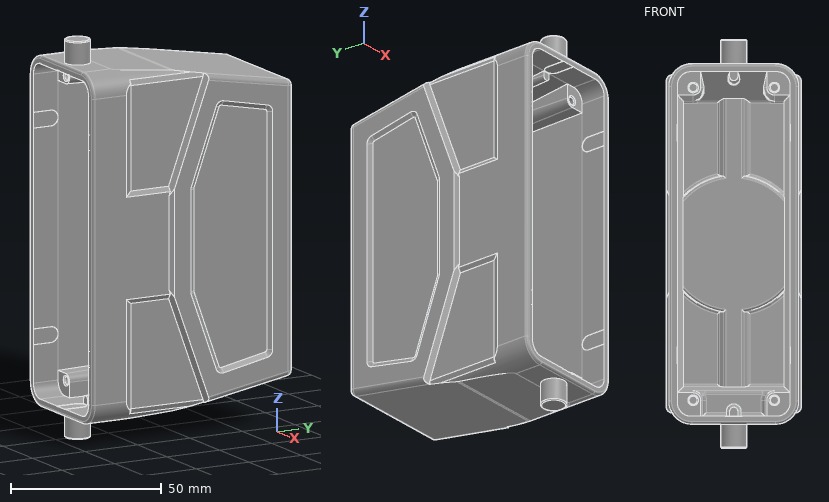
import cadquery as cq
import math

depth = 76.0
back_width = 45.0
hood_height = 120.0
pin_span = 136.0

skirt_width = 43.2
skirt_corner_radius = 7.7
rim_edge_radius = 0.9
skirt_length = 43.8

end_flat_y = 11.1
end_kink_y = 32.0
end_kink_half_height = 58.2
end_kink_radius = 9.5
back_slope = math.radians(10)
back_half_height = end_kink_half_height - (depth - end_kink_y) * math.tan(back_slope)
back_edge_radius = 2.0

shell_edge_y = 30.7
shell_edge_half_length = 18.5
shell_slant = math.radians(20)
straight_bevel_slope = 1.8
slant_bevel_slope = 0.8

window_depth = 0.9
window_front_y = 15.0
window_inner_z = 19.2
window_front_bevel = 2.2
window_inner_bevel = 1.7
window_strip_z = 55.2
window_strip_slope = 0.4

shell_drop = (back_width - skirt_width) / 2 + window_depth

panel_depth = 1.0
panel_bevel = 1.7
panel_corner_radius = 2.5
panel_back = (68.1, 42.7)
panel_peak = (47.3, 46.9)
panel_front = (36.9, 17.9)

pin_diameter = 8.8
pin_y = 6.3
pin_end_chamfer = 0.4

cavity_width = 37.5
cavity_height = 114.6
cavity_corner_radius = 4.5
cavity_draft = 1.9
cavity_end_half_height = 47.5
mouth_depth = 9.4
groove_width = 5.4
groove_depth = 0.1
side_groove_z = 37.0
back_wall = 3.0
island_height = 6.0
island_radius = 22.8
island_draft = 4.0
island_rib_width = 6.5
island_rib_draft = 15.0
island_edge_radius = 0.9
floor_fillet_radius = 0.8

shelf_y = 30.0
shelf_fillet_radius = 1.3

screw_spacing_x = 27.0
screw_spacing_z = 104.0
screw_hole_diameter = 2.7
screw_hole_mouth_diameter = 3.5
screw_hole_depth = 15.0
pillar_radius = 2.5
centre_rib_diameter = 2.7
centre_rib_draft = 3.0
centre_rib_length = 36.0
centre_rib_height = 8.0
centre_rib_offset = 2.3


def along_y(start_y):
    """Workplane at y = start_y whose extrusion runs toward +Y; local axes are (-x, z)."""
    plane = cq.Plane(origin=(0, start_y, 0), xDir=(-1, 0, 0), normal=(0, 1, 0))
    return cq.Workplane(plane)


def prism_x(points, width):
    """Prism of a (y, z) outline, centred on x = 0."""
    return cq.Workplane("YZ", origin=(-width / 2, 0, 0)).polyline(points).close().extrude(width)


def mirrored_z(points):
    """The (y, z) points followed by their mirror images below z = 0, in outline order."""
    return points + [(y, -z) for y, z in reversed(points)]


def end_profile():
    """Side outline of the whole hood, with the kink in each end blended by an arc."""
    front_slope = math.atan2(hood_height / 2 - end_kink_half_height, end_kink_y - end_flat_y)
    tangent = end_kink_radius * math.tan((back_slope - front_slope) / 2)
    before = (
        end_kink_y - tangent * math.cos(front_slope),
        end_kink_half_height + tangent * math.sin(front_slope),
    )
    after = (
        end_kink_y + tangent * math.cos(back_slope),
        end_kink_half_height - tangent * math.sin(back_slope),
    )
    return (
        cq.Workplane("YZ", origin=(-back_width / 2, 0, 0))
        .moveTo(0, -hood_height / 2)
        .lineTo(0, hood_height / 2)
        .lineTo(end_flat_y, hood_height / 2)
        .lineTo(*before)
        .tangentArcPoint(after, relative=False)
        .lineTo(depth, back_half_height)
        .lineTo(depth, -back_half_height)
        .lineTo(after[0], -after[1])
        .tangentArcPoint((before[0], -before[1]), relative=False)
        .lineTo(end_flat_y, -hood_height / 2)
        .close()
        .extrude(back_width)
    )


def skirt(envelope):
    """Front part of the hood: a rounded block trimmed to the end profile."""
    body = along_y(0).rect(skirt_width, hood_height).extrude(skirt_length)
    body = body.edges("|Y").fillet(skirt_corner_radius)
    body = body.intersect(envelope)
    return body.faces("<Y").edges().fillet(rim_edge_radius)


def window(side_z):
    """Lofted recess on the +X side, open toward the end and under the back shell."""
    floor_x = back_width / 2 - shell_drop
    rear_y = skirt_length
    end_z = hood_height

    def section(x, level):
        front = window_front_y - level * window_front_bevel
        inner = window_inner_z - level * window_inner_bevel
        outline = [(front, inner), (rear_y, inner), (rear_y, end_z), (front, end_z)]
        outline = [(y, side_z * z) for y, z in outline]
        return cq.Workplane("YZ", origin=(x, 0, 0)).polyline(outline).close().wires().val()

    levels = 2
    solid = cq.Solid.makeLoft(
        [section(floor_x, 0), section(floor_x + levels * window_depth, levels)], True
    )
    strip_length = hood_height / 2 - window_strip_z
    strip = (
        cq.Workplane("XZ", origin=(0, window_front_y, 0))
        .moveTo(floor_x, side_z * window_strip_z)
        .lineTo(floor_x, side_z * (window_strip_z + strip_length))
        .lineTo(floor_x - window_strip_slope * strip_length, side_z * (window_strip_z + strip_length))
        .close()
        .extrude(window_front_y - rear_y)
    )
    return cq.Workplane(solid).union(strip)


def shell_wedge():
    """Half of the bevelled shell envelope, from x = 0 to the +X face."""
    reach = hood_height

    def section(x, level):
        straight = shell_edge_y - level * straight_bevel_slope
        slant_shift = level * slant_bevel_slope / math.cos(shell_slant)
        corner_z = shell_edge_half_length + (
            straight - shell_edge_y + slant_shift
        ) / math.tan(shell_slant)
        rise = (reach - corner_z) * math.tan(shell_slant)
        half = [(straight, corner_z), (straight + rise, reach), (2 * reach, reach)]
        outline = [(y, -z) for y, z in half][::-1] + half
        return cq.Workplane("YZ", origin=(x, 0, 0)).polyline(outline).close().wires().val()

    bevelled = cq.Solid.makeLoft(
        [section(back_width / 2 - shell_drop, shell_drop), section(back_width / 2, 0)], True
    )
    core = cq.Solid.extrudeLinear(
        section(back_width / 2 - shell_drop, shell_drop), [], cq.Vector(shell_drop - back_width / 2, 0, 0)
    )
    return cq.Workplane(bevelled).union(cq.Workplane(core))


def back_shell():
    """Wider rear part of the hood with rounded edges and a bevelled front border."""
    front_y = shell_edge_y - straight_bevel_slope * shell_drop
    front_z = end_kink_half_height + (end_kink_y - front_y) * math.tan(back_slope)
    block = prism_x(mirrored_z([(front_y, front_z), (depth, back_half_height)]), back_width)
    block = block.edges("(>X or <X or >Y) and (not <Y)").fillet(back_edge_radius)
    wedge = shell_wedge()
    return block.intersect(wedge.union(wedge.mirror("YZ")))


def side_panel():
    """Cutter for the sunk panel with bevelled borders on the +X side."""
    taper = math.degrees(math.atan2(panel_bevel, panel_depth))
    sketch_plane = cq.Plane(origin=(back_width / 2, 0, 0), xDir=(0, -1, 0), normal=(-1, 0, 0))
    outline = mirrored_z([panel_back, panel_peak, panel_front])
    sketch = cq.Sketch().polygon([(-y, z) for y, z in outline + outline[:1]])
    sketch = sketch.vertices().fillet(panel_corner_radius).reset()
    return cq.Workplane(sketch_plane).placeSketch(sketch).extrude(panel_depth, taper=taper)


def cavity_envelope():
    """Straight-walled mouth followed by a drafted deep part with a sloping upper end."""
    mouth = along_y(0).rect(cavity_width, cavity_height).extrude(mouth_depth)
    mouth = mouth.edges("|Y").fillet(cavity_corner_radius)
    deep_length = depth - back_wall - mouth_depth
    sides = along_y(mouth_depth).rect(cavity_width, 2 * hood_height).extrude(deep_length, taper=cavity_draft)
    floor_y = depth - back_wall
    outline = [
        (mouth_depth, cavity_height / 2),
        (floor_y, cavity_end_half_height),
        (floor_y, -cavity_height / 2),
        (mouth_depth, -cavity_height / 2),
    ]
    corners = along_y(0).rect(cavity_width, cavity_height).extrude(depth)
    corners = corners.edges("|Y").fillet(cavity_corner_radius)
    deep = sides.intersect(prism_x(outline, back_width)).intersect(corners)
    return mouth.union(deep)


def guide_groove():
    """Shallow round-ended groove cutter along y, lying in the XY plane and centred on z = 0."""
    return (
        cq.Workplane("XY", origin=(0, 0, -groove_depth))
        .slot2D(2 * mouth_depth, groove_width, 90)
        .extrude(2 * groove_depth)
    )


def floor_island():
    """Raised disc on the cavity floor, crossed by a rib that runs from end to end."""
    base_y = depth - back_wall
    plane = cq.Plane(origin=(0, base_y, 0), xDir=(1, 0, 0), normal=(0, -1, 0))
    disc_spread = island_height * math.tan(math.radians(island_draft))
    rib_spread = 2 * island_height * math.tan(math.radians(island_rib_draft))
    disc = cq.Workplane(plane).circle(island_radius + disc_spread).extrude(island_height, taper=island_draft)
    rib = (
        cq.Workplane(plane)
        .rect(island_rib_width + rib_spread, 2 * hood_height)
        .extrude(island_height, taper=island_rib_draft)
    )
    return disc.union(rib).faces("<Y").edges().fillet(island_edge_radius)


def clear_of_side_walls():
    """Selects edges whose middle is away from the two long side walls."""
    reach = 0.4 * cavity_width
    return cq.selectors.BoxSelector((-reach, 0, -hood_height), (reach, 2 * depth, hood_height))


def pillar(side_x, side_z):
    """Corner block around a screw axis; it thickens with depth by the cavity draft."""
    length = depth - mouth_depth
    inner_x = screw_spacing_x / 2 - pillar_radius
    inner_z = screw_spacing_z / 2 - pillar_radius
    reach = skirt_width
    return (
        along_y(mouth_depth)
        .center(-side_x * (inner_x + reach / 2), side_z * (inner_z + reach / 2))
        .sketch()
        .rect(reach, reach)
        .vertices()
        .fillet(pillar_radius)
        .finalize()
        .extrude(length, taper=-cavity_draft)
    )


def lower_shelf():
    """Block below the lower end of the deep cavity, flush with the pillars' inner faces."""
    draft_shift = (shelf_y - mouth_depth) * math.tan(math.radians(cavity_draft))
    top_z = screw_spacing_z / 2 - pillar_radius - draft_shift
    return (
        along_y(shelf_y)
        .center(0, -top_z - hood_height / 2)
        .rect(hood_height, hood_height)
        .extrude(depth - shelf_y, taper=-cavity_draft)
    )


def centre_rib(side_z):
    """Round-nosed rib standing off an end wall; the far end of the slot is buried in the wall."""
    nose_z = screw_spacing_z / 2 + centre_rib_offset
    return (
        along_y(mouth_depth)
        .center(0, side_z * (nose_z + centre_rib_height / 2))
        .slot2D(centre_rib_height, centre_rib_diameter, 90)
        .extrude(centre_rib_length, taper=-centre_rib_draft)
    )


def screw_hole(side_x, side_z):
    """Blind bore in a pillar with a chamfered mouth."""
    mouth_chamfer = (screw_hole_mouth_diameter - screw_hole_diameter) / 2
    axis = along_y(mouth_depth).center(-side_x * screw_spacing_x / 2, side_z * screw_spacing_z / 2)
    bore = axis.circle(screw_hole_diameter / 2).extrude(screw_hole_depth)
    mouth = axis.circle(screw_hole_mouth_diameter / 2).extrude(mouth_chamfer, taper=45)
    return bore.union(mouth)


def lock_pin(side_z):
    """Round pin standing out of an end wall."""
    inner_z = cavity_height / 2 + groove_depth
    pin = (
        cq.Workplane("XY", origin=(0, pin_y, inner_z))
        .circle(pin_diameter / 2)
        .extrude(pin_span / 2 - inner_z)
        .faces(">Z")
        .chamfer(pin_end_chamfer)
    )
    return pin if side_z > 0 else pin.mirror("XY")


sides = (1, -1)

hood = skirt(end_profile())
for side_z in sides:
    recess = window(side_z)
    hood = hood.cut(recess).cut(recess.mirror("YZ"))
hood = hood.union(back_shell()).intersect(end_profile())

panel = side_panel()
hood = hood.cut(panel).cut(panel.mirror("YZ"))

cavity = cavity_envelope().cut(lower_shelf())
for side_z in sides:
    for side_x in sides:
        cavity = cavity.cut(pillar(side_x, side_z))
shelf_face = cavity.faces(cq.selectors.NearestToPointSelector((0, shelf_y, -screw_spacing_z / 2)))
cavity = shelf_face.edges().fillet(shelf_fillet_radius)
cavity = cavity.cut(floor_island())
cavity = cavity.faces(">Y").edges(clear_of_side_walls()).fillet(floor_fillet_radius)
for side_z in sides:
    cavity = cavity.cut(centre_rib(side_z))
hood = hood.cut(cavity)

end_groove = guide_groove()
side_groove = end_groove.rotate((0, 0, 0), (0, 1, 0), 90)
for side_z in sides:
    hood = hood.cut(end_groove.translate((0, 0, side_z * cavity_height / 2)))
    for side_x in sides:
        hood = hood.cut(side_groove.translate((side_x * cavity_width / 2, 0, side_z * side_groove_z)))

for side_z in sides:
    hood = hood.union(lock_pin(side_z))
    for side_x in sides:
        hood = hood.cut(screw_hole(side_x, side_z))

result = hood